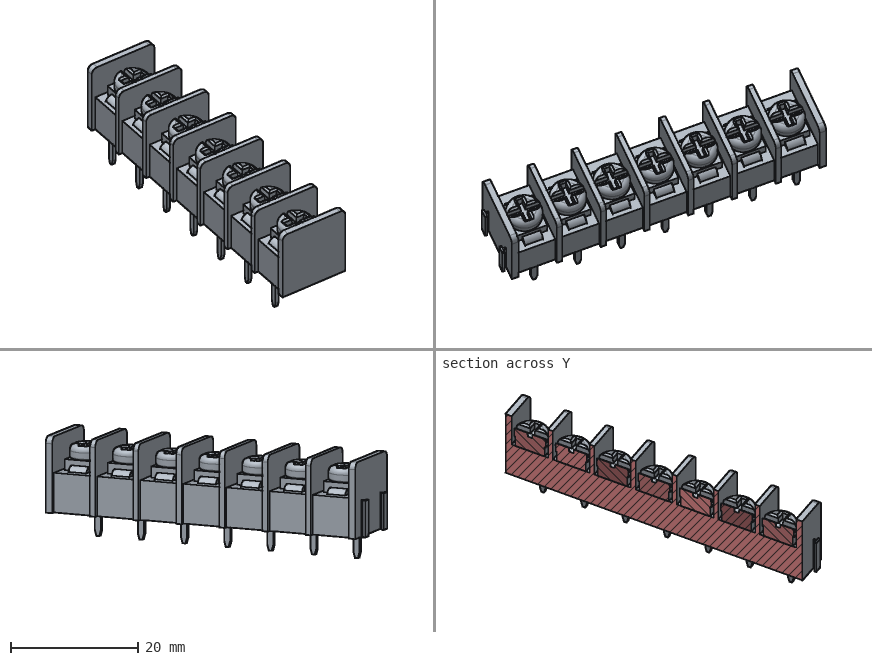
import cadquery as cq


way_count = 7
pitch = 7.45
terminal_y = -0.45

barrier_thickness = 0.9
end_barrier_thickness = 1.15
barrier_depth = 12.0
barrier_height = 12.2
barrier_corner_radius = 1.05
base_depth = 10.65
base_height = 6.35

bay_width = pitch - barrier_thickness
base_length = way_count * pitch - barrier_thickness
base_min_x = -bay_width / 2

rail_height = 5.9
rail_offset_y = 3.55
rail_projection = 0.85
rail_head_thickness = 0.4
rail_head_width = 1.35
rail_neck_width = 0.3

block_width = 5.4
block_depth = 5.9
block_top = 8.1
strap_width = 3.1
strap_span = 8.5
strap_top = 7.25
strap_thickness = strap_top - base_height
strap_bend_radius = 1.5
strap_leg_bottom = 4.35

pin_width = 1.05
pin_thickness = 0.65
pin_length = 5.1
pin_tip_width = 0.5
pin_tip_length = 1.0

head_diameter = 5.8
head_height = 2.3
head_top_radius = 1.05
head_bottom_radius = 0.25
head_top = block_top + head_height

drive_depth = 1.2
drive_floor_width = 0.7
drive_wall_width = 0.9
drive_mouth_width = 1.75
drive_mouth_depth = 0.25
recess_floor_length = 3.25
recess_mouth_length = 4.8
recess_wall_length = 3.9


def box(size_x, size_y, size_z, min_x, center_y, min_z):
    """Box placed by its low X, middle Y and low Z."""
    corner = (min_x, center_y - size_y / 2, min_z)
    return cq.Workplane("XY").box(size_x, size_y, size_z, centered=False).translate(corner)


def make_barrier(min_x, thickness):
    plate = box(thickness, barrier_depth, barrier_height, min_x, 0, 0)
    return plate.edges("|X and >Z").fillet(barrier_corner_radius)


def make_rail(center_y, barrier_face_x):
    tip_x = barrier_face_x - rail_projection
    head = box(rail_head_thickness, rail_head_width, rail_height, tip_x, center_y, 0)
    neck = box(rail_projection, rail_neck_width, rail_height, tip_x, center_y, 0)
    return head.union(neck)


def make_housing_blank():
    """Housing before the terminal recesses are cut."""
    blank = box(base_length, base_depth, base_height, base_min_x, 0, 0)
    for gap in range(1, way_count):
        blank = blank.union(make_barrier(base_min_x + gap * pitch - barrier_thickness, barrier_thickness))
    end_face_x = base_min_x - end_barrier_thickness
    blank = blank.union(make_barrier(end_face_x, end_barrier_thickness))
    blank = blank.union(make_barrier(base_min_x + base_length, end_barrier_thickness))
    for side in (-1, 1):
        blank = blank.union(make_rail(side * rail_offset_y, end_face_x))
    return blank


def make_strap():
    """Flat strap bent down at both ends, its legs set into the housing."""
    outer = box(strap_width, strap_span, strap_top - strap_leg_bottom, -strap_width / 2, 0, strap_leg_bottom)
    outer = outer.edges("|X and >Z").fillet(strap_bend_radius)
    inner_span = strap_span - 2 * strap_thickness
    inner = box(strap_width, inner_span, base_height - strap_leg_bottom, -strap_width / 2, 0, strap_leg_bottom)
    inner = inner.edges("|X and >Z").fillet(strap_bend_radius - strap_thickness)
    return outer.cut(inner)


def make_pin():
    """Flat pin with a tapered tip, flush with the outside of the -Y strap leg."""
    outline = [
        (-pin_width / 2, strap_leg_bottom),
        (-pin_width / 2, pin_tip_length - pin_length),
        (-pin_tip_width / 2, -pin_length),
        (pin_tip_width / 2, -pin_length),
        (pin_width / 2, pin_tip_length - pin_length),
        (pin_width / 2, strap_leg_bottom),
    ]
    pin = cq.Workplane("XZ").polyline(outline).close().extrude(-pin_thickness)
    return pin.translate((0, -strap_span / 2, 0))


def tapered_pocket(top_x, top_y, bottom_x, bottom_y, top, bottom):
    """Rectangular pocket with X and Y sizes given at its top and bottom heights."""
    return (
        cq.Workplane("XY")
        .workplane(offset=bottom)
        .rect(bottom_x, bottom_y)
        .workplane(offset=top - bottom)
        .rect(top_x, top_y)
        .loft(ruled=True)
    )


def make_drive():
    """Cross-shaped cutter: steep walls below a wider flared mouth."""
    floor = head_top - drive_depth
    flare = head_top - drive_mouth_depth
    slot_mouth = tapered_pocket(
        head_diameter, drive_mouth_width, head_diameter, drive_wall_width, head_top, flare
    )
    slot_wall = tapered_pocket(
        head_diameter, drive_wall_width, head_diameter, drive_floor_width, flare, floor
    )
    recess_mouth = tapered_pocket(
        drive_mouth_width, recess_mouth_length, drive_wall_width, recess_wall_length, head_top, flare
    )
    recess_wall = tapered_pocket(
        drive_wall_width, recess_wall_length, drive_floor_width, recess_floor_length, flare, floor
    )
    return slot_mouth.union(slot_wall).union(recess_mouth).union(recess_wall)


def make_screw_head():
    head = cq.Workplane("XY").workplane(offset=block_top).circle(head_diameter / 2).extrude(head_height)
    head = head.faces(">Z").edges().fillet(head_top_radius)
    head = head.faces("<Z").edges().fillet(head_bottom_radius)
    return head.cut(make_drive())


def make_terminal():
    """One-piece terminal: clamp block, strap, solder pin and screw head."""
    block = box(block_width, block_depth, block_top - base_height, -block_width / 2, 0, base_height)
    terminal = block.union(make_strap()).union(make_pin()).union(make_screw_head())
    return terminal.translate((0, terminal_y, 0))


terminal = make_terminal()
terminals = [terminal.translate((way * pitch, 0, 0)) for way in range(way_count)]

housing = make_housing_blank()
for placed_terminal in terminals:
    housing = housing.cut(placed_terminal)

bodies = [body.solids().val() for body in [housing, *terminals]]
result = cq.Compound.makeCompound(bodies)